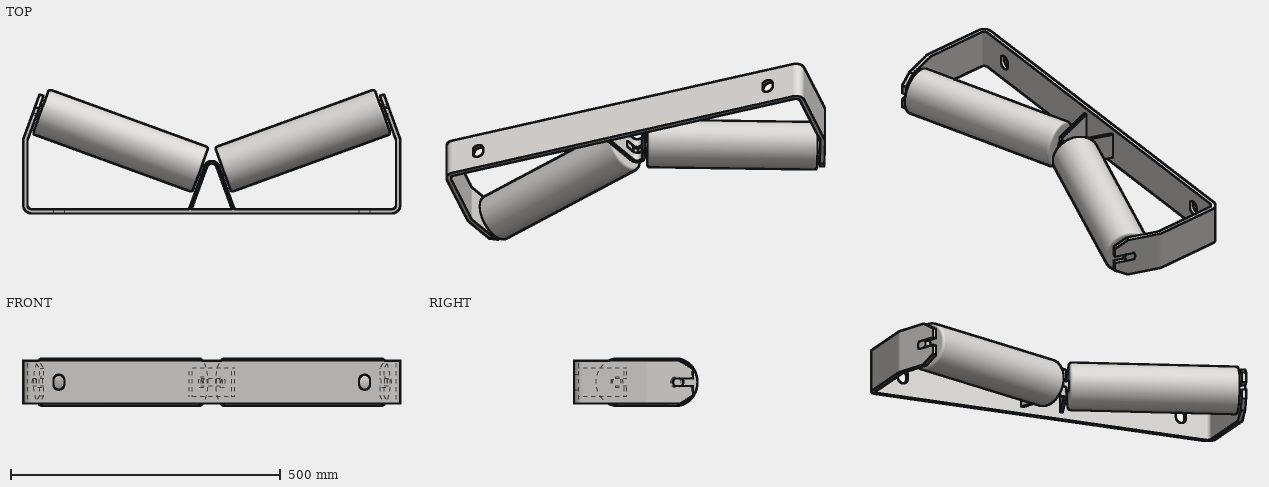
import cadquery as cq
import math

frame_length = 700.0
frame_height = 80.0
frame_thickness = 8.5
frame_bend_radius = 16.0
knee_y = 137.0
tilt = 20.0

roller_diameter = 89.0
roller_length = 315.0
roller_edge_radius = 5.0
roller_center_y = 135.0
end_gap = 5.0

shaft_diameter = 20.0
shaft_flat_width = 15.0

flange_reach = 29.5
tip_chamfer_length = 25.0
tip_chamfer_height = 15.0

bracket_thickness = 5.0
bracket_height = 53.0
bracket_bend_radius = 14.0

mount_slot_offset = 283.5
mount_slot_width = 20.0
mount_slot_height = 28.0

sin_tilt = math.sin(math.radians(tilt))
cos_tilt = math.cos(math.radians(tilt))
half_length = frame_length / 2

flange_outer = half_length * cos_tilt + knee_y * sin_tilt
flange_inner = flange_outer - frame_thickness
roller_middle = flange_inner - end_gap - roller_length / 2
bracket_outer = roller_middle - roller_length / 2 - end_gap
bracket_inner = bracket_outer - bracket_thickness

roller_center_x = -(roller_middle - roller_center_y * sin_tilt) / cos_tilt
support_reach = roller_length / 2 + end_gap
tip_along = roller_center_x * sin_tilt + roller_center_y * cos_tilt + flange_reach


def place_left(body):
    """Move a body from the roller's own frame (axis along X) to the left roller's place."""
    tilted = body.rotate((0, 0, 0), (0, 0, 1), -tilt)
    return tilted.translate((roller_center_x, roller_center_y, 0))


def on_both_sides(body):
    """Return the left-hand body and its mirror image on the right."""
    return [body, body.mirror("YZ")]


def upright_prism(points, height):
    return cq.Workplane("XY").polyline(points).close().extrude(height / 2, both=True)


def with_mirrored_points(left_points):
    return left_points + [(-x, y) for x, y in reversed(left_points)]


def tilted_point(across, along):
    """Point given by its distances along the roller axis and along the left flange."""
    return (along * sin_tilt - across * cos_tilt, along * cos_tilt + across * sin_tilt)


def flattened_shaft(start_x, length):
    """Length of shaft with two flats, in the roller's frame."""
    rod = cq.Workplane("YZ", origin=(start_x, 0, 0)).circle(shaft_diameter / 2).extrude(length)
    flats = cq.Workplane("XY", origin=(start_x, 0, 0)).box(
        length, shaft_diameter, shaft_flat_width, centered=(False, True, True)
    )
    return rod.intersect(flats)


def shaft_slot(start_x, depth, length):
    """Open slot whose floor follows the flattened shaft it holds, in the roller's frame."""
    mouth = cq.Workplane("XY", origin=(start_x, 0, 0)).box(
        depth, length, shaft_flat_width, centered=(False, False, True)
    )
    return flattened_shaft(start_x, depth).union(mouth)


def bent_strip():
    outer_left = [
        tilted_point(flange_inner, tip_along),
        tilted_point(flange_outer, tip_along),
        (-half_length, knee_y),
        (-half_length, 0),
    ]
    wall_x = half_length - frame_thickness
    inner_knee_y = (flange_inner - wall_x * cos_tilt) / sin_tilt
    inner_left = [
        tilted_point(flange_inner, tip_along + frame_thickness),
        (-wall_x, inner_knee_y),
        (-wall_x, frame_thickness),
    ]
    bends = "|Z and (<X or >X)"
    inner_radius = frame_bend_radius - frame_thickness
    outside = upright_prism(with_mirrored_points(outer_left), frame_height)
    inside = upright_prism(with_mirrored_points(inner_left), frame_height)
    return outside.edges(bends).fillet(frame_bend_radius).cut(inside.edges(bends).fillet(inner_radius))


def tip_corner(side):
    """Wedge that bevels one corner of the flange tip, in the roller's frame; side is +1 or -1."""
    edge_z = side * frame_height / 2
    corner = [
        (flange_reach - tip_chamfer_length, edge_z),
        (flange_reach, edge_z),
        (flange_reach, edge_z - side * tip_chamfer_height),
    ]
    start = cq.Workplane("YZ", origin=(-support_reach - frame_thickness, 0, 0))
    return start.polyline(corner).close().extrude(frame_thickness)


def mounting_slots():
    face = cq.Workplane("XZ").pushPoints([(-mount_slot_offset, 0), (mount_slot_offset, 0)])
    return face.slot2D(mount_slot_height, mount_slot_width, 90).extrude(-frame_thickness)


def make_frame():
    frame = bent_strip().cut(mounting_slots())
    notch = shaft_slot(-support_reach - frame_thickness, frame_thickness, flange_reach)
    for cutter in [notch, tip_corner(1), tip_corner(-1)]:
        for placed in on_both_sides(place_left(cutter)):
            frame = frame.cut(placed)
    return frame


def bracket_wedge(face_distance, bend_radius):
    """Solid triangle under a pair of leg faces, with a rounded apex."""
    apex_y = face_distance / sin_tilt
    foot_x = (face_distance - frame_thickness * sin_tilt) / cos_tilt
    triangle = [(-foot_x, frame_thickness), (foot_x, frame_thickness), (0, apex_y)]
    return upright_prism(triangle, bracket_height).edges("|Z and >Y").fillet(bend_radius)


def make_bracket():
    inner_radius = bracket_bend_radius - bracket_thickness
    bracket = bracket_wedge(bracket_outer, bracket_bend_radius)
    bracket = bracket.cut(bracket_wedge(bracket_inner, inner_radius))
    slot = shaft_slot(support_reach, 2 * bracket_bend_radius, 2 * bracket_bend_radius)
    for placed in on_both_sides(place_left(slot)):
        bracket = bracket.cut(placed)
    return bracket


def centered_cylinder(diameter, length):
    """Cylinder along X, centered on the roller's middle."""
    return cq.Workplane("YZ", origin=(-length / 2, 0, 0)).circle(diameter / 2).extrude(length)


def make_left_roller():
    drum = centered_cylinder(roller_diameter, roller_length).edges("%CIRCLE").fillet(roller_edge_radius)
    shaft = centered_cylinder(shaft_diameter, 2 * support_reach)
    outer_end = flattened_shaft(-support_reach - frame_thickness, frame_thickness)
    inner_end = flattened_shaft(support_reach, bracket_thickness)
    return place_left(drum.union(shaft).union(outer_end).union(inner_end))


frame = make_frame()
bracket = make_bracket()
rollers = on_both_sides(make_left_roller())

result = cq.Compound.makeCompound([
    frame.val(),
    bracket.val(),
    *[roller.val() for roller in rollers],
])